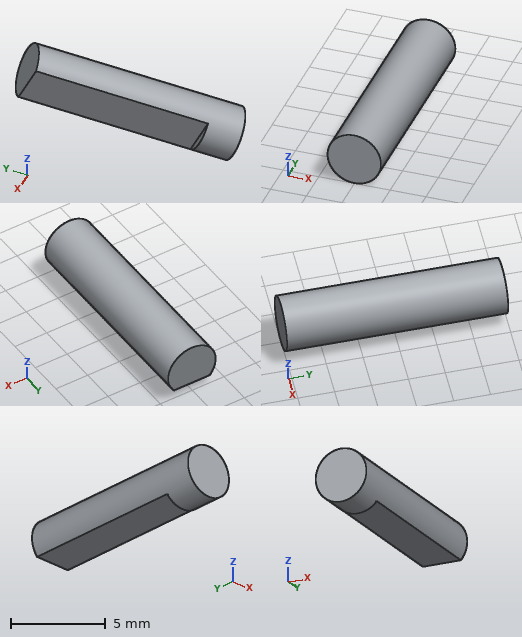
import cadquery as cq

length = 12.0
diameter = 3.0
head_length = 2.0
flat_depth = 0.5

radius = diameter / 2
front_y = -length / 2


def round_pin():
    """Full cylinder centred on the origin, axis along Y."""
    return cq.Workplane("XZ", origin=(0, -front_y, 0)).circle(radius).extrude(length)


def underside_cut():
    """Block that leaves a flat from behind the head to the +Y end."""
    return (
        cq.Workplane("XY")
        .box(diameter, length - head_length, flat_depth, centered=(True, False, False))
        .translate((0, front_y + head_length, -radius))
    )


result = round_pin().cut(underside_cut())